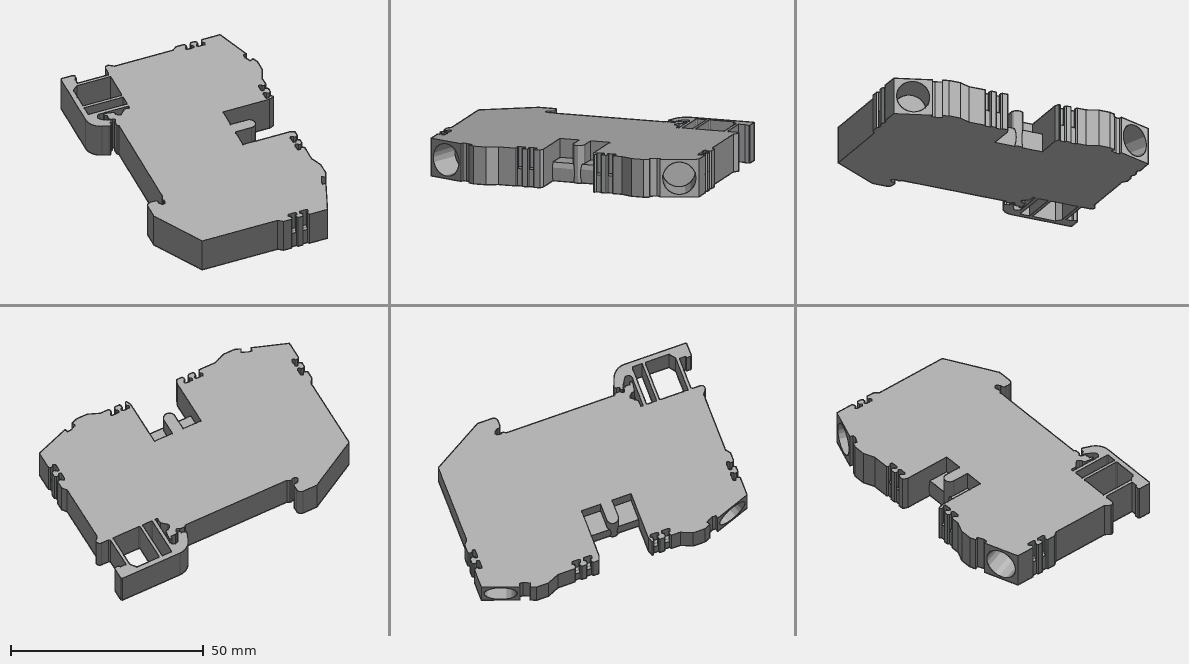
import cadquery as cq
import math

length = 73.5
height = 49.8
thickness = 10.1
mid_plane = thickness / 2
half_length = length / 2

slope_bottom = 44.8
slope_end_x = 27.3
slope_top = 48.3
notch_floor = 47.4
ledge_y = 48.5
side_x = half_length - 0.95
end_face_bottom = 32.5
waist_top = 31.25

recess_left = -8.6
recess_right = 5.1
recess_floor = 34.1
recess_lead_in_y = 47.2
recess_lead_in = 0.5
web_top = 40.05
web_bulge = 0.3
tongue_width = 3.15
tongue_top = 40.3

groove_pitch = 3.15
mouth_width = 1.85
neck_width = 1.25
bar_width = 2.3
mouth_depth = 0.45
neck_depth = 1.2
bar_depth = 2.05
bar_corner = 0.4
groove_floor = 4.8
neck_floor_drop = 0.185
end_groove_y = 38.8
left_ledge_groove_x = -13.5
right_ledge_groove_x = 8.1

jaw_left = 16.75
jaw_bottom = 2.1
jaw_corner = 1.25
underside_slope_x = 22.05
underside_slope_y = 10.1

entry_diameter = 8.6
entry_depth = 8.8

body_underside = 12.35
left_corner = 0.95
left_end_bevel_y = 13.5
waist_bottom = 14.85
foot_left = -36.5
foot_lip_top = 3.9
foot_step_y = 3.45
foot_corner = 0.3
rib_left = -33.3
rib_bevel = 0.4
slot_left = -20.0
rail_seat_y = 7.1
window_floor = 1.4
wide_window = (-32.4, -24.55)
narrow_window = (-23.75, -20.95)
window_corner = 0.3
wide_window_chamfer_x = 1.25
wide_window_chamfer_y = 1.6


def shoulder(side):
    """Points of one end, from the waist up over the crown to the ledge; side is -1 or +1."""
    points = [
        (side_x, waist_top),
        (half_length, end_face_bottom),
        (half_length, slope_bottom),
        (slope_end_x, slope_top),
        (27.1, notch_floor),
        (26.2, notch_floor),
        (24.4, 48.2),
        (24.85, 49.2),
        (23.3, height),
        (20.0, height),
        (16.9, ledge_y),
    ]
    return [(side * x, y) for x, y in points]


def housing():
    """Main body, including the rail catch on the left and the rail jaw on the right."""
    recess = [
        (recess_left - recess_lead_in, ledge_y),
        (recess_left, recess_lead_in_y),
        (recess_left, recess_floor),
        (recess_right, recess_floor),
        (recess_right, recess_lead_in_y),
        (recess_right + recess_lead_in, ledge_y),
    ]
    right_end = list(reversed(shoulder(1)))
    rail_jaw_to_seat = [(17.35, 6.9), (17.1, 6.7), (16.55, 6.7), (15.9, rail_seat_y),
                        (-13.9, rail_seat_y), (-14.3, 6.7), (-15.8, 6.7)]
    catch = [(-16.9, 6.0), (-17.6, 5.7), (-18.8, 5.7), (-18.9, 5.1), (-19.55, 5.1), (-19.55, 6.1),
             (-19.3, 7.3)]
    catch_upper = [(-19.3, 10.8), (-19.3, body_underside)]

    outline = cq.Workplane("XY").polyline(shoulder(-1) + recess + right_end)
    outline = outline.lineTo(side_x, underside_slope_y).lineTo(underside_slope_x, jaw_bottom)
    outline = outline.lineTo(jaw_left + jaw_corner, jaw_bottom)
    outline = outline.tangentArcPoint((-jaw_corner, jaw_corner))
    outline = outline.lineTo(jaw_left, 4.5).threePointArc((17.0, 5.1), (17.5, 5.3))
    outline = outline.lineTo(17.85, 5.3).lineTo(18.5, 5.8)
    outline = outline.threePointArc((18.6, 6.55), (18.1, 6.9))
    for point in rail_jaw_to_seat:
        outline = outline.lineTo(*point)
    outline = outline.threePointArc((-16.3, 7.1), (-16.9, 6.7))
    for point in catch:
        outline = outline.lineTo(*point)
    outline = outline.threePointArc((-19.0, 7.95), (-18.5, 8.0))
    outline = outline.lineTo(-18.0, 8.45).threePointArc((-17.65, 9.0), (-17.85, 9.5))
    for point in catch_upper:
        outline = outline.lineTo(*point)
    outline = outline.lineTo(-half_length + left_corner, body_underside)
    outline = outline.tangentArcPoint((-left_corner, left_corner))
    outline = outline.lineTo(-half_length, left_end_bevel_y).lineTo(-side_x, waist_bottom)
    return outline.close().extrude(thickness)


def foot():
    """Foot with its lip, ribs and the curved hook that reaches up to the rail catch."""
    lip = [
        (foot_left + foot_corner, 0),
        (foot_left, foot_corner),
        (foot_left, foot_lip_top - foot_corner),
        (foot_left + foot_corner, foot_lip_top),
        (-35.1, foot_lip_top),
        (-35.0, foot_step_y),
        (rib_left, foot_step_y),
        (rib_left, body_underside - rib_bevel),
        (rib_left - rib_bevel, body_underside),
        (slot_left, body_underside),
        (slot_left, 4.2),
    ]
    hook_tip = [(-17.05, 5.3), (-16.75, 6.1), (-16.5, 6.4), (-16.0, 6.1), (-15.95, 5.5),
                (-15.15, 5.45), (-14.6, 5.1), (-14.7, 4.6), (-15.35, 3.0)]
    outline = cq.Workplane("XY").polyline(lip).threePointArc((-19.0, 3.2), (-17.9, 3.8))
    for point in hook_tip:
        outline = outline.lineTo(*point)
    outline = outline.threePointArc((-16.9, 0.8), (-19.3, 0))
    return outline.close().extrude(thickness)


def foot_windows():
    """Two windows through the foot; the wide one has a chamfer at its lower left."""
    windows = cq.Workplane("XY")
    for left, right in (wide_window, narrow_window):
        window = (
            cq.Workplane("XY")
            .moveTo((left + right) / 2, (window_floor + body_underside) / 2)
            .rect(right - left, body_underside - window_floor)
            .extrude(thickness)
            .edges("|Z and >X")
            .fillet(window_corner)
        )
        windows = windows.add(window)
    chamfer = (
        cq.Workplane("XY")
        .moveTo(wide_window[0], window_floor)
        .lineTo(wide_window[0] + wide_window_chamfer_x, window_floor)
        .lineTo(wide_window[0], window_floor + wide_window_chamfer_y)
        .close()
        .extrude(thickness)
    )
    return windows.combine().cut(chamfer)


def recess_web():
    """Web across the back half of the recess; its exposed edge is slightly convex."""
    return (
        cq.Workplane("YZ", origin=(recess_left, 0, 0))
        .moveTo(recess_floor, 0)
        .lineTo(web_top - web_bulge, 0)
        .threePointArc((web_top, mid_plane / 2), (web_top - web_bulge, mid_plane))
        .lineTo(recess_floor, mid_plane)
        .close()
        .extrude(recess_right - recess_left)
    )


def recess_tongue():
    """Round-nosed tongue standing up from the middle of the recess floor."""
    radius = tongue_width / 2
    shoulder_y = tongue_top - radius
    return (
        cq.Workplane("XY", origin=((recess_left + recess_right) / 2, 0, 0))
        .moveTo(-radius, recess_floor)
        .lineTo(-radius, shoulder_y)
        .threePointArc((0, tongue_top), (radius, shoulder_y))
        .lineTo(radius, recess_floor)
        .close()
        .extrude(thickness)
    )


def marker_groove():
    """Cutter for one groove in a face at Y = 0 that looks towards +Y, centred on X = 0."""
    mouth = (
        cq.Workplane("XY")
        .polyline([
            (-mouth_width / 2, 0),
            (mouth_width / 2, 0),
            (neck_width / 2, -mouth_depth),
            (-neck_width / 2, -mouth_depth),
        ])
        .close()
        .extrude(thickness)
    )
    neck = (
        cq.Workplane("YZ", origin=(-neck_width / 2, 0, 0))
        .polyline([
            (-mouth_depth, groove_floor - neck_floor_drop),
            (-mouth_depth, thickness),
            (-neck_depth, thickness),
            (-neck_depth, groove_floor),
        ])
        .close()
        .extrude(neck_width)
    )
    bar = (
        cq.Workplane("XY", origin=(0, -(neck_depth + bar_depth) / 2, groove_floor))
        .rect(bar_width, bar_depth - neck_depth)
        .extrude(thickness - groove_floor)
        .edges("|Z")
        .fillet(bar_corner)
    )
    return mouth.union(neck).union(bar)


def cut_marker_grooves(body):
    """Cut a pair of grooves into each ledge and each end face."""
    groove = marker_groove()
    turn_left = groove.rotate((0, 0, 0), (0, 0, 1), 90)
    turn_right = groove.rotate((0, 0, 0), (0, 0, 1), -90)
    for step in (0, groove_pitch):
        end_y = end_groove_y - step
        body = body.cut(groove.translate((left_ledge_groove_x + step, ledge_y, 0)))
        body = body.cut(groove.translate((right_ledge_groove_x + step, ledge_y, 0)))
        body = body.cut(turn_left.translate((-half_length, end_y, 0)))
        body = body.cut(turn_right.translate((half_length, end_y, 0)))
    return body


def wire_entry(side):
    """Blind round hole square to one sloped face; side is -1 or +1."""
    run = half_length - slope_end_x
    rise = slope_top - slope_bottom
    slope_length = math.hypot(run, rise)
    center = cq.Vector(
        side * (half_length + slope_end_x) / 2, (slope_bottom + slope_top) / 2, mid_plane
    )
    inward = cq.Vector(-side * rise / slope_length, -run / slope_length, 0)
    return cq.Solid.makeCylinder(entry_diameter / 2, entry_depth, center, inward)


result = housing().union(foot()).cut(foot_windows())
result = result.union(recess_web()).union(recess_tongue())
result = cut_marker_grooves(result)
for end in (-1, 1):
    result = result.cut(wire_entry(end))